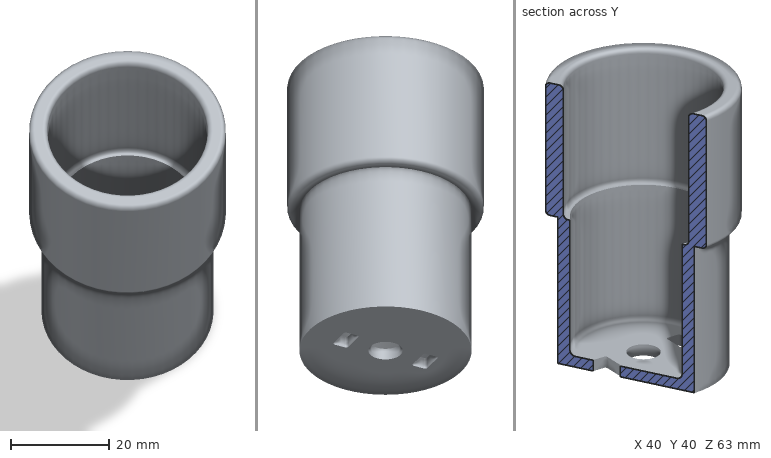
import cadquery as cq

height = 63.0
collar_diameter = 40.0
body_diameter = 35.0
body_length = 33.0
edge_radius = 1.0
shoulder_radius = 0.9

upper_bore_diameter = 32.6
lower_bore_diameter = 30.0
shoulder_height = body_length
floor_thickness = 2.5

center_hole_diameter = 7.0
slot_length = 5.35
slot_width = 3.35
slot_corner_radius = 0.5
slot_distance = 9.1
slot_angles = (61, 241)


def cylinder(diameter, bottom, top):
    """Solid cylinder on the part axis between two heights."""
    return cq.Workplane("XY").workplane(offset=bottom).circle(diameter / 2).extrude(top - bottom)


def make_outside():
    """Plain lower body carrying a wider collar with rounded rims."""
    collar = cylinder(collar_diameter, body_length, height).edges().fillet(edge_radius)
    return cylinder(body_diameter, 0, height - edge_radius).union(collar)


def make_cavity():
    """Two bores, each with a rounded bottom corner."""
    lower = cylinder(lower_bore_diameter, floor_thickness, height).faces("<Z").edges().fillet(edge_radius)
    upper = cylinder(upper_bore_diameter, shoulder_height, height).faces("<Z").edges().fillet(shoulder_radius)
    return lower.union(upper)


def make_slot(angle):
    """Rounded rectangular cutter with its short side along the radius at the given angle."""
    slot = cq.Workplane("XY").center(slot_distance, 0).rect(slot_width, slot_length).extrude(floor_thickness)
    return slot.edges("|Z").fillet(slot_corner_radius).rotate((0, 0, 0), (0, 0, 1), angle)


result = make_outside().cut(make_cavity())

mouth_edge = cq.selectors.RadiusNthSelector(0)
result = result.faces(">Z").edges(mouth_edge).fillet(edge_radius)

result = result.cut(cylinder(center_hole_diameter, 0, floor_thickness))
for slot_angle in slot_angles:
    result = result.cut(make_slot(slot_angle))